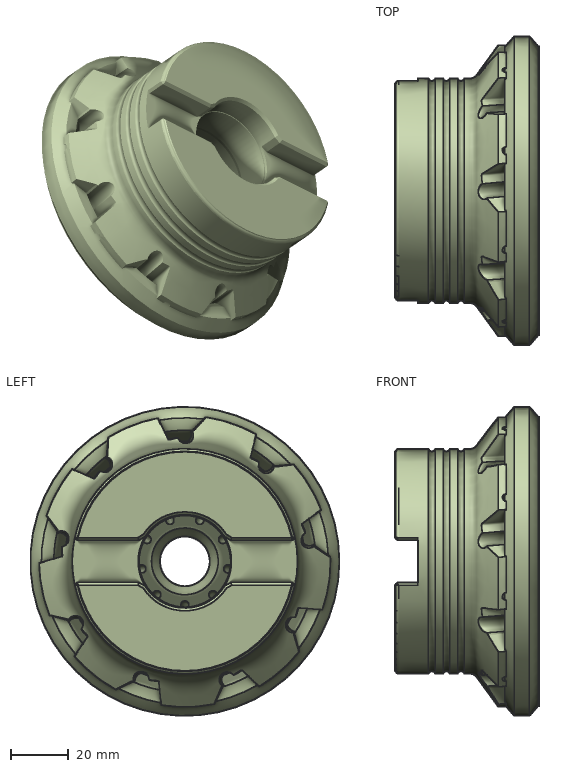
import cadquery as cq
import math


length = 50.1
outer_radius = 53.7
pocket_count = 9
pitch = 360 / pocket_count
far_radius = 64.4

shank_radius = 39.1
face_radius = 38.0
rounding_start = (0.3, 38.2)
rounding_end = 1.4
rounding_bulge = 0.15
groove_centers = (12.9, 17.9, 23.0)
groove_half_width = 1.2
groove_depth = 0.9

neck_start = 26.2
cone_start = 28.5
cone_start_radius = 40.3
land_start = 36.0
land_radius = 50.6
far_end_radius = 50.2

ring_half_size = 6.0
ring_rim_flat = 2.63
ring_face_flat = 2.1
ring_center_radius = outer_radius - ring_half_size
ring_center_x = length - ring_half_size

slot_depth = 8.0
slot_half_width = 7.3
edge_chamfer = 1.0
bore_corner_chamfer = 1.5

counterbore_radius = 16.2
counterbore_depth = 26.3
bore_corner_reach = 21.5
pilot_radius = 15.9
pilot_start = 9.1
pilot_end = 20.9
pilot_lead = 1.2
bore_radius = 8.6
bore_entry_radius = 11.6

pocket_plane_x = ring_center_x - ring_half_size
pocket_skew = 5.0
pocket_end = ring_center_x
seat_corner = (-6.3, 42.1)
seat_inner = (-1.1, 43.4)
seat_wall_lean = math.radians(22.4)
seat_fillet = 0.6
relief_corner = (2.7, 45.5)
relief_wall_lean = math.radians(45)
gullet_center = (-0.4, 43.8)
gullet_radius = 2.8

coolant_radius = 1.4
coolant_entry_radius = 15.1
coolant_entry_angle = -90.0
coolant_exit_x = 38.9
coolant_exit_angle = coolant_entry_angle - 4.0


def around_axis(shape):
    """Return copies of the shape at every tooth pitch around the X axis."""
    copies = cq.Workplane("XY")
    for index in range(pocket_count):
        copies = copies.add(shape.rotate((0, 0, 0), (1, 0, 0), index * pitch))
    return copies.vals()


def cut_all(body, shapes):
    for shape in shapes:
        body = body.cut(cq.Workplane(shape))
    return body


def turned_body():
    profile = cq.Workplane("XY").lineTo(0, -shank_radius)
    for center in groove_centers:
        profile = profile.lineTo(center - groove_half_width, -shank_radius).threePointArc(
            (center, -shank_radius + groove_depth),
            (center + groove_half_width, -shank_radius),
        )
    return (
        profile.lineTo(neck_start, -shank_radius)
        .tangentArcPoint((cone_start, -cone_start_radius), relative=False)
        .lineTo(land_start, -land_radius)
        .lineTo(ring_center_x, -land_radius)
        .lineTo(ring_center_x, -far_end_radius)
        .lineTo(length, -far_end_radius)
        .lineTo(length, 0)
        .close()
        .revolve(360, (0, 0, 0), (1, 0, 0))
    )


def drive_slot():
    return cq.Workplane("XY").box(
        slot_depth, 2 * far_radius, 2 * slot_half_width, centered=(False, True, True)
    )


def break_slot_edges(body):
    """Chamfer the corners where the slot meets the bore and shank, then its face edges."""
    inner_corners = slot_corners(body, bore_corner_reach)
    body = inner_corners.chamfer(bore_corner_chamfer)
    outer_corners = slot_corners(body, far_radius).filter(is_outside_bore)
    body = outer_corners.chamfer(edge_chamfer)
    face_edges = body.faces("<X").edges().filter(lambda edge: not is_shank_rim(edge))
    return face_edges.chamfer(edge_chamfer)


def slot_corners(body, reach):
    """Edges along X at the ends of the slot walls, within the given distance from the axis."""
    margin = 0.1
    half_width = slot_half_width + margin
    box = cq.selectors.BoxSelector((-1.1, -reach, -half_width), (slot_depth, reach, half_width))
    return body.edges("|X").edges(box)


def is_outside_bore(edge):
    return abs(edge.Center().y) > bore_corner_reach


def is_shank_rim(edge):
    return edge.geomType() == "CIRCLE" and edge.radius() > bore_corner_reach


def shank_edge_waste():
    """Material outside the small chamfer and rounding at the shank end."""
    rounding_x, rounding_radius = rounding_start
    rounding_middle = (
        (rounding_x + rounding_end) / 2 - rounding_bulge,
        -(rounding_radius + shank_radius) / 2 - rounding_bulge,
    )
    return (
        cq.Workplane("XY")
        .moveTo(0, -face_radius)
        .lineTo(rounding_x, -rounding_radius)
        .threePointArc(rounding_middle, (rounding_end, -shank_radius))
        .lineTo(rounding_end, -far_radius)
        .lineTo(0, -far_radius)
        .close()
        .revolve(360, (0, 0, 0), (1, 0, 0))
    )


def bore():
    taper_end = counterbore_depth + bore_entry_radius - bore_radius
    return (
        cq.Workplane("XY")
        .lineTo(0, counterbore_radius)
        .lineTo(pilot_start, counterbore_radius)
        .lineTo(pilot_start, pilot_radius)
        .lineTo(pilot_end, pilot_radius)
        .lineTo(pilot_end + pilot_lead, counterbore_radius)
        .lineTo(counterbore_depth, counterbore_radius)
        .lineTo(counterbore_depth, bore_entry_radius)
        .lineTo(taper_end, bore_radius)
        .lineTo(length, bore_radius)
        .lineTo(length, 0)
        .close()
        .revolve(360, (0, 0, 0), (1, 0, 0))
    )


def leaning_wall_top(corner, lean):
    """Follow a leaning wall from its foot to beyond the outside of the part."""
    across, out = corner
    return across + (far_radius - out) * math.tan(lean), far_radius


def pocket():
    section = [
        leaning_wall_top(seat_corner, -seat_wall_lean),
        seat_corner,
        seat_inner,
        relief_corner,
        leaning_wall_top(relief_corner, relief_wall_lean),
    ]
    section_plane = cq.Plane((length, 0, 0), xDir=(0, -1, 0), normal=(-1, 0, 0))
    reach = 2 * length
    seat_edge = cq.selectors.NearestToPointSelector((0, -seat_corner[0], seat_corner[1]))
    cutter = cq.Workplane(section_plane).polyline(section).close().extrude(reach)
    cutter = cutter.edges(seat_edge).fillet(seat_fillet)
    gullet = (
        cq.Workplane(section_plane)
        .center(*gullet_center)
        .circle(gullet_radius)
        .extrude(reach)
    )
    skewed = cutter.union(gullet).rotate((0, 0, 0), (0, 0, 1), pocket_skew)
    shifted = skewed.translate((pocket_plane_x, 0, 0))
    limit = cq.Workplane("XY").box(
        pocket_end, 2 * far_radius, 2 * far_radius, centered=(False, True, True)
    )
    return shifted.intersect(limit).val()


def polar_point(x, radius, angle):
    """Point at a polar angle measured from -Y toward +Z."""
    turn = math.radians(angle)
    return cq.Vector(x, -radius * math.cos(turn), radius * math.sin(turn))


def coolant_hole():
    entry = polar_point(counterbore_depth, coolant_entry_radius, coolant_entry_angle)
    outlet = polar_point(coolant_exit_x, land_radius, coolant_exit_angle)
    path = outlet - entry
    overrun = 2 * coolant_radius
    drill = cq.Solid.makeCylinder(coolant_radius, path.Length + overrun, entry, path)
    round_start = cq.Workplane("XY").sphere(coolant_radius).translate(entry.toTuple())
    return round_start.union(cq.Workplane(drill)).val()


def rim_ring():
    """Ring of octagonal section, its flats facing along and away from the axis."""
    half, rim, face = ring_half_size, ring_rim_flat, ring_face_flat
    corners = [
        (-half, -face), (-rim, -half), (rim, -half), (half, -face),
        (half, face), (rim, half), (-rim, half), (-half, face),
    ]
    section = [(ring_center_x + along, out - ring_center_radius) for along, out in corners]
    return cq.Workplane("XY").polyline(section).close().revolve(360, (0, 0, 0), (1, 0, 0))


body = turned_body().cut(drive_slot()).cut(bore())
body = break_slot_edges(body).cut(shank_edge_waste())
body = cut_all(body, around_axis(pocket()))
body = cut_all(body, around_axis(coolant_hole()))
result = body.union(rim_ring())